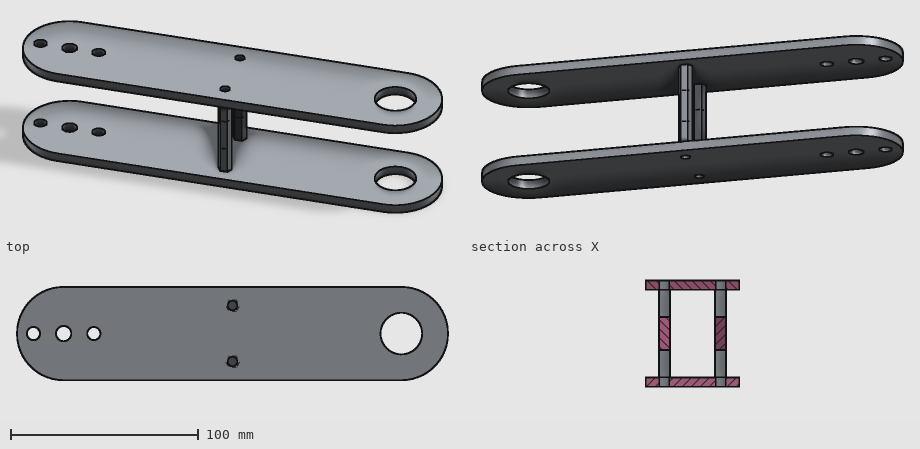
import cadquery as cq
import math

LENGTH = 230.0
WIDTH = 50.0
HEIGHT = 56.8
PLATE_THICKNESS = 5.0
END_RADIUS = WIDTH / 2
END_CENTER_X = LENGTH / 2 - END_RADIUS

BORE_DIAMETER = 22.0
PIVOT_DIAMETER = 8.0
SIDE_HOLE_DIAMETER = 7.0
SIDE_HOLE_SPACING = 16.0
SCREW_HOLE_DIAMETER = 5.0

POST_SPACING = 30.0
POST_FLAT_LENGTH = 4.0
POST_ACROSS_FLATS = 6.0
SLANT_ANGLE = math.radians(60)
POST_LENGTH = HEIGHT - 2 * PLATE_THICKNESS
THREAD_HOLE_DEPTH = 14.5
POST_CENTERS = [(0, -POST_SPACING / 2), (0, POST_SPACING / 2)]


def make_plate(bottom_z):
    """Round-ended plate with a large bore, a row of three holes and two screw holes."""
    plate = (
        cq.Workplane("XY")
        .workplane(offset=bottom_z)
        .slot2D(LENGTH, WIDTH)
        .extrude(PLATE_THICKNESS)
    )
    side_hole_centers = [
        (-END_CENTER_X - SIDE_HOLE_SPACING, 0),
        (-END_CENTER_X + SIDE_HOLE_SPACING, 0),
    ]
    hole_groups = [
        (BORE_DIAMETER, [(END_CENTER_X, 0)]),
        (PIVOT_DIAMETER, [(-END_CENTER_X, 0)]),
        (SIDE_HOLE_DIAMETER, side_hole_centers),
        (SCREW_HOLE_DIAMETER, POST_CENTERS),
    ]
    for diameter, centers in hole_groups:
        holes = (
            cq.Workplane("XY")
            .workplane(offset=bottom_z)
            .pushPoints(centers)
            .circle(diameter / 2)
            .extrude(PLATE_THICKNESS)
        )
        plate = plate.cut(holes)
    return plate


def make_post(center):
    """Hexagonal standoff, corners along X, with a blind hole in each end."""
    flat_end_x = POST_FLAT_LENGTH / 2
    flat_y = POST_ACROSS_FLATS / 2
    corner_x = flat_end_x + flat_y / math.tan(SLANT_ANGLE)
    outline = [
        (corner_x, 0),
        (flat_end_x, flat_y),
        (-flat_end_x, flat_y),
        (-corner_x, 0),
        (-flat_end_x, -flat_y),
        (flat_end_x, -flat_y),
    ]
    post = cq.Workplane("XY").polyline(outline).close().extrude(POST_LENGTH)
    for hole_bottom in (0, POST_LENGTH - THREAD_HOLE_DEPTH):
        hole = (
            cq.Workplane("XY")
            .workplane(offset=hole_bottom)
            .circle(SCREW_HOLE_DIAMETER / 2)
            .extrude(THREAD_HOLE_DEPTH)
        )
        post = post.cut(hole)
    return post.translate((*center, PLATE_THICKNESS))


plates = [make_plate(bottom_z) for bottom_z in (0, HEIGHT - PLATE_THICKNESS)]
posts = [make_post(center) for center in POST_CENTERS]

result = cq.Compound.makeCompound([body.val() for body in plates + posts])